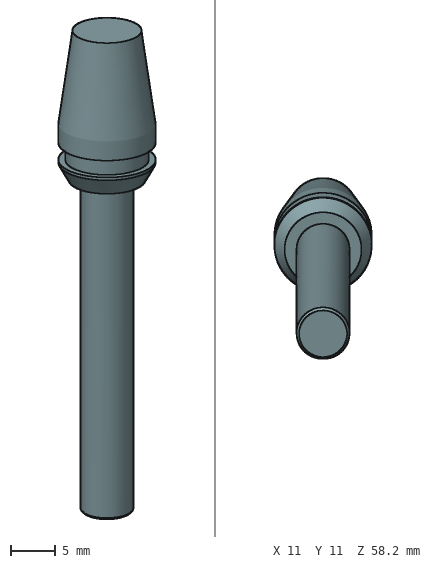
import cadquery as cq

total_length = 58.15
shank_diameter = 6.0
collar_diameter = 11.0
groove_diameter = 9.4
tip_diameter = 7.8
flare_start_diameter = 8.65

shank_length = 40.1
flare_height = 2.1
rim_height = 0.35
groove_width = 2.05
collar_height = 2.3
end_chamfer = 0.3

flare_top = shank_length + flare_height
rim_top = flare_top + rim_height
groove_top = rim_top + groove_width
collar_top = groove_top + collar_height


def cylinder(diameter, bottom, top):
    """Cylinder on the Z axis between two heights."""
    return cq.Workplane("XY").workplane(offset=bottom).circle(diameter / 2).extrude(top - bottom)


def cone(bottom_diameter, top_diameter, bottom, top):
    """Truncated cone on the Z axis between two heights."""
    return (
        cq.Workplane("XY")
        .workplane(offset=bottom)
        .circle(bottom_diameter / 2)
        .workplane(offset=top - bottom)
        .circle(top_diameter / 2)
        .loft(ruled=True)
    )


shank = cylinder(shank_diameter, 0, shank_length).faces("<Z").chamfer(end_chamfer)

flare = cone(flare_start_diameter, collar_diameter, shank_length, flare_top)
rim = cylinder(collar_diameter, flare_top, rim_top)

groove_core = cylinder(groove_diameter, rim_top, groove_top)
collar = cylinder(collar_diameter, groove_top, collar_top)
head = cone(collar_diameter, tip_diameter, collar_top, total_length)

result = shank.union(flare).union(rim).union(groove_core).union(collar).union(head)